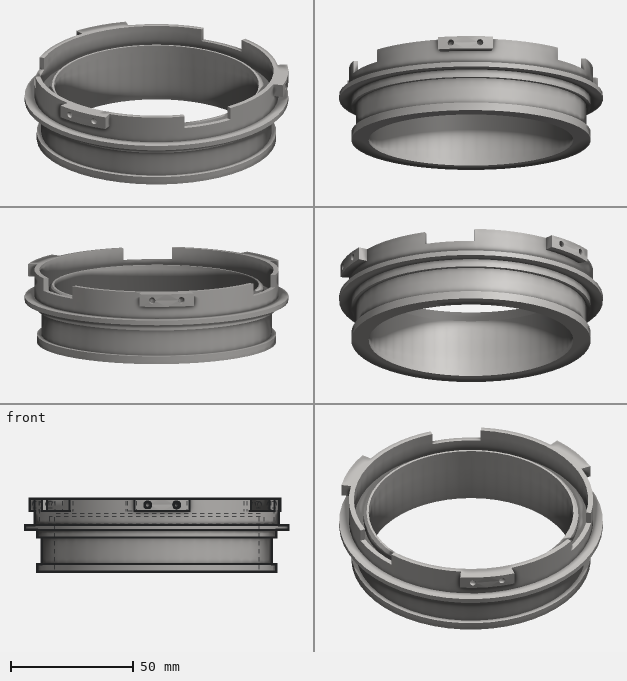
import cadquery as cq
import math

TOTAL_HEIGHT = 30.0
LOWER_RIM_TOP = 3.2
GROOVE_TOP = 14.0
FLANGE_BOTTOM = 17.2
FLANGE_TOP = 19.1
FLOOR_HEIGHT = 19.5
LIP_TOP = 23.9

FLANGE_RADIUS = 54.0
WALL_OUTER_RADIUS = 50.0
WALL_INNER_RADIUS = 48.0
RIM_RADIUS = 49.0
GROOVE_RADIUS = 47.2
BORE_RADIUS = 41.9
LIP_CHAMFER = 1.2
LIP_OUTER_RADIUS = 44.0

SECTOR_COUNT = 3
SECTOR_PITCH = 360 / SECTOR_COUNT
FIRST_LUG_ANGLE = 32.4
FIRST_NOTCH_ANGLE = FIRST_LUG_ANGLE + SECTOR_PITCH / 2
SECTOR_SPAN = 24.0
LUG_HEIGHT = 5.2
LUG_BOTTOM = TOTAL_HEIGHT - LUG_HEIGHT

HOLE_DIAMETER = 2.6
HOLE_DEPTH = 3.0
DRILL_POINT_ANGLE = 118.0
HOLE_HALF_ANGLE = 6.4
CUT_MARGIN = 1.1


def ring_body():
    """Revolved section: grooved skirt, flange, upper wall and inner lip."""
    section = [
        (BORE_RADIUS, 0),
        (RIM_RADIUS, 0),
        (RIM_RADIUS, LOWER_RIM_TOP),
        (GROOVE_RADIUS, LOWER_RIM_TOP),
        (GROOVE_RADIUS, GROOVE_TOP),
        (RIM_RADIUS, GROOVE_TOP),
        (RIM_RADIUS, FLANGE_BOTTOM),
        (FLANGE_RADIUS, FLANGE_BOTTOM),
        (FLANGE_RADIUS, FLANGE_TOP),
        (WALL_OUTER_RADIUS, FLANGE_TOP),
        (WALL_OUTER_RADIUS, TOTAL_HEIGHT),
        (WALL_INNER_RADIUS, TOTAL_HEIGHT),
        (WALL_INNER_RADIUS, FLOOR_HEIGHT),
        (LIP_OUTER_RADIUS, FLOOR_HEIGHT),
        (LIP_OUTER_RADIUS, LIP_TOP - LIP_CHAMFER),
        (LIP_OUTER_RADIUS - LIP_CHAMFER, LIP_TOP),
        (BORE_RADIUS, LIP_TOP),
    ]
    return cq.Workplane("XZ").polyline(section).close().revolve(360, (0, 0), (0, 1))


def polar_point(radius, angle):
    """Plan position at a radius and an angle in degrees from +X."""
    turn = math.radians(angle)
    return (radius * math.cos(turn), radius * math.sin(turn))


def ring_sector(inner_radius, outer_radius, middle_angle, height):
    """Annular sector standing on the level of the lug undersides."""
    start = middle_angle - SECTOR_SPAN / 2
    end = middle_angle + SECTOR_SPAN / 2
    return (
        cq.Workplane("XY", origin=(0, 0, LUG_BOTTOM))
        .moveTo(*polar_point(inner_radius, start))
        .lineTo(*polar_point(outer_radius, start))
        .threePointArc(polar_point(outer_radius, middle_angle), polar_point(outer_radius, end))
        .lineTo(*polar_point(inner_radius, end))
        .threePointArc(polar_point(inner_radius, middle_angle), polar_point(inner_radius, start))
        .close()
        .extrude(height)
    )


def lug_hole(angle):
    """Blind hole with a drill-point end, drilled radially inward from the lug face."""
    hole_radius = HOLE_DIAMETER / 2
    point_depth = hole_radius / math.tan(math.radians(DRILL_POINT_ANGLE / 2))
    profile = [
        (0, -CUT_MARGIN),
        (hole_radius, -CUT_MARGIN),
        (hole_radius, HOLE_DEPTH),
        (0, HOLE_DEPTH + point_depth),
    ]
    lug_face = cq.Plane(
        origin=(*polar_point(FLANGE_RADIUS, angle), LUG_BOTTOM + LUG_HEIGHT / 2),
        xDir=(0, 0, 1),
        normal=(*polar_point(1, angle - 90), 0),
    )
    return cq.Workplane(lug_face).polyline(profile).close().revolve(360, (0, 0), (0, 1))


result = ring_body()
wall_middle_radius = (WALL_INNER_RADIUS + WALL_OUTER_RADIUS) / 2

for sector in range(SECTOR_COUNT):
    lug_angle = FIRST_LUG_ANGLE + sector * SECTOR_PITCH
    notch_angle = FIRST_NOTCH_ANGLE + sector * SECTOR_PITCH

    lug = ring_sector(wall_middle_radius, FLANGE_RADIUS, lug_angle, LUG_HEIGHT)
    result = result.union(lug)

    notch = ring_sector(
        WALL_INNER_RADIUS - CUT_MARGIN,
        WALL_OUTER_RADIUS + CUT_MARGIN,
        notch_angle,
        LUG_HEIGHT + CUT_MARGIN,
    )
    result = result.cut(notch)

    for side in (-1, 1):
        result = result.cut(lug_hole(lug_angle + side * HOLE_HALF_ANGLE))